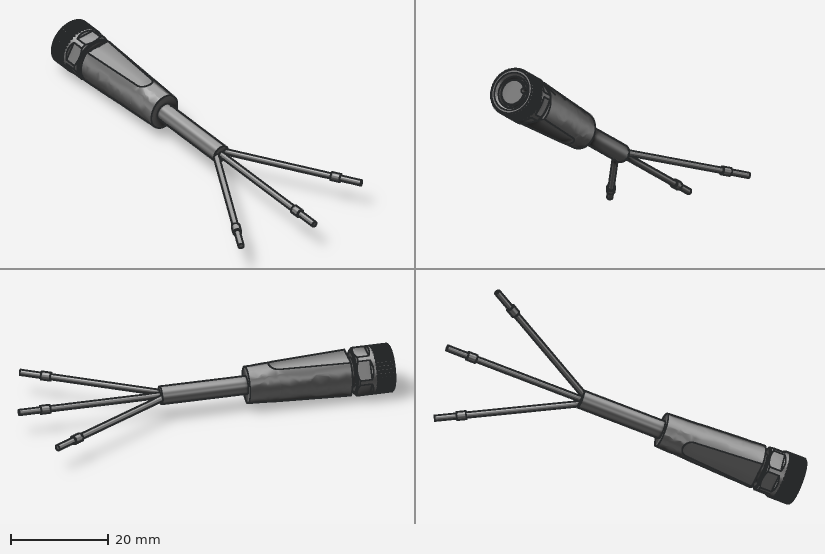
import cadquery as cq
import math


nut_radius = 4.985
knurl_end = 3.85
knurl_count = 40
knurl_depth = 0.2
front_face_radius = 4.6
front_chamfer_length = 0.3
flat_count = 6
hex_half_width = 4.55
hex_flat_start = 5.0
rear_cone_start = 7.5
rear_cone_end = 7.9
rear_cone_radius = 4.55
rear_rim_radius = 4.2
nut_end = 8.2

mouth_radius = 4.0
bore_radius = 3.4
mouth_cone_depth = 0.6
bore_depth = 2.75

insert_radius = 2.79
insert_face = 0.55
insert_chamfer = 0.2
key_radius = 0.55
key_offset = 2.5

neck_radius = 3.1
body_start = 9.0
body_end = 30.45
body_front_half_y = 4.4
body_front_half_z = 5.1
body_rear_half_y = 3.49
body_rear_half_z = 3.9
panel_end = 23.95
panel_front_height = 3.885
panel_end_height = 3.8
panel_runout_radius = 4.0

cable_radius = 1.9
cable_end = 48.6
total_length = 78.5
wire_radius = 0.59
wire_spread_angle = 30.0
wire_offset = 1.25
wire_root = 0.8
sleeve_radius = 0.9
sleeve_length = 2.0
bare_tip_length = 4.55
center_wire_length = total_length - cable_end
outer_wire_length = 29.7


def cylinder_x(radius, start, end):
    return cq.Workplane("YZ", origin=(start, 0, 0)).circle(radius).extrude(end - start)


def make_nut_blank():
    profile = [
        (0, 0),
        (0, front_face_radius),
        (front_chamfer_length, nut_radius),
        (rear_cone_start, nut_radius),
        (rear_cone_end, rear_cone_radius),
        (rear_cone_end, rear_rim_radius),
        (nut_end, rear_rim_radius),
        (nut_end, 0),
    ]
    return cq.Workplane("XY").polyline(profile).close().revolve(360, (0, 0, 0), (1, 0, 0))


def make_knurl_cutter():
    """V grooves between the ridges of the grip ring."""
    outer = nut_radius + knurl_depth
    root = nut_radius - knurl_depth
    points = []
    for i in range(knurl_count):
        for half_step, radius in ((0, outer), (1, root)):
            angle = math.pi * (2 * i + half_step) / knurl_count
            points.append((radius * math.sin(angle), radius * math.cos(angle)))
    overshoot = 0.8
    ring = cylinder_x(2 * nut_radius, -overshoot, knurl_end)
    ridges = cq.Workplane("YZ", origin=(-overshoot, 0, 0)).polyline(points).close()
    return ring.cut(ridges.extrude(knurl_end + overshoot))


def cut_wrench_flats(nut):
    """Hexagon flats, each starting with a 45 degree ramp."""
    ramp = nut_radius - hex_half_width
    margin = 0.8
    profile = [
        (hex_flat_start, hex_half_width),
        (nut_end, hex_half_width),
        (nut_end, nut_radius + margin),
        (hex_flat_start - ramp - margin, nut_radius + margin),
    ]
    cutter = cq.Workplane("XZ").polyline(profile).close().extrude(nut_radius, both=True)
    for i in range(flat_count):
        nut = nut.cut(cutter.rotate((0, 0, 0), (1, 0, 0), i * 360 / flat_count))
    return nut


def make_socket():
    profile = [
        (0, 0),
        (0, mouth_radius),
        (mouth_cone_depth, bore_radius),
        (bore_depth, bore_radius),
        (bore_depth, 0),
    ]
    return cq.Workplane("XY").polyline(profile).close().revolve(360, (0, 0, 0), (1, 0, 0))


def make_insert():
    insert = cylinder_x(insert_radius, insert_face, bore_depth)
    insert = insert.faces("<X").chamfer(insert_chamfer)
    key_groove = cylinder_x(key_radius, insert_face, bore_depth).translate((0, -key_offset, 0))
    return insert.cut(key_groove)


def make_body():
    """Tapered elliptical grip with a sloping thumb panel on the top and the bottom."""
    body = (
        cq.Workplane("YZ", origin=(body_start, 0, 0))
        .ellipse(body_front_half_y, body_front_half_z)
        .workplane(offset=body_end - body_start)
        .ellipse(body_rear_half_y, body_rear_half_z)
        .loft(ruled=True)
    )
    half_arc = math.radians(45)
    arc_middle = (
        panel_end + panel_runout_radius * math.sin(half_arc),
        panel_end_height + panel_runout_radius * (1 - math.cos(half_arc)),
    )
    arc_end = (panel_end + panel_runout_radius, panel_end_height + panel_runout_radius)
    panel = (
        cq.Workplane("XZ")
        .moveTo(body_start, panel_front_height)
        .lineTo(panel_end, panel_end_height)
        .threePointArc(arc_middle, arc_end)
        .lineTo(body_start, arc_end[1])
        .close()
        .extrude(body_front_half_y, both=True)
    )
    return body.cut(panel).cut(panel.mirror("XY"))


def make_wire(side):
    """One wire with its ferrule; side is -1, 0 or 1 across Y."""
    wire_length = outer_wire_length if side else center_wire_length
    sleeve_end = wire_length - bare_tip_length
    wire = cylinder_x(wire_radius, -wire_root, wire_length)
    wire = wire.union(cylinder_x(sleeve_radius, sleeve_end - sleeve_length, sleeve_end))
    wire = wire.rotate((0, 0, 0), (0, 0, 1), side * wire_spread_angle)
    return wire.translate((cable_end, side * wire_offset, 0))


nut = make_nut_blank().cut(make_knurl_cutter())
nut = cut_wrench_flats(nut)
nut = nut.cut(make_socket()).union(make_insert())

result = nut.union(cylinder_x(neck_radius, bore_depth, body_start))
result = result.union(make_body())
result = result.union(cylinder_x(cable_radius, body_start, cable_end))
for side in (-1, 0, 1):
    result = result.union(make_wire(side))